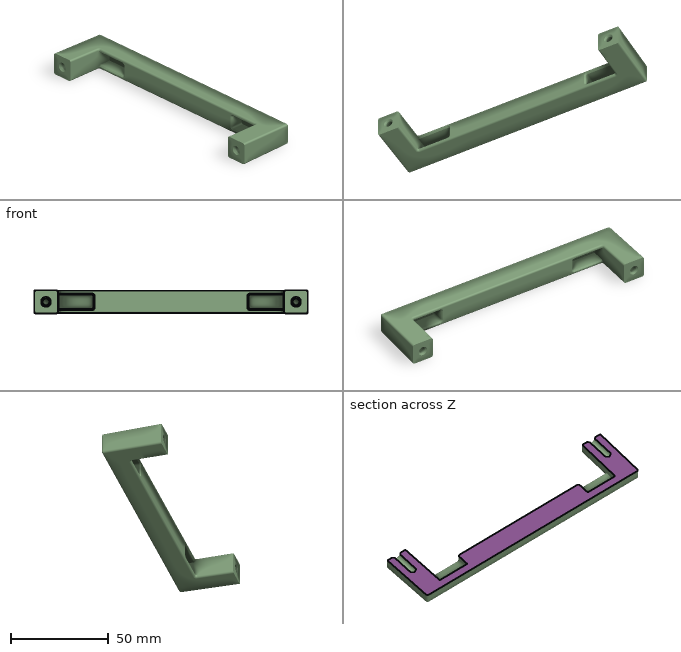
import cadquery as cq
import math

length = 140.0
projection = 32.0
foot_size = 12.0
grip_thickness = 12.0
end_draft_angle = 1.0
side_draft_angle = 0.6
edge_radius = 1.0
inner_corner_radius = 1.0

hole_diameter = 3.4
hole_depth = 14.0
countersink_diameter = 5.0
drill_tip_angle = 118.0

pocket_length = 17.9
pocket_width = 7.3
pocket_depth = 7.4
pocket_corner_radius = 1.0
pocket_rim_chamfer = 0.7
pocket_rim_angle = 45.0
pocket_leg_overlap = 4.2

end_draft_slope = math.tan(math.radians(end_draft_angle))
side_draft_slope = math.tan(math.radians(side_draft_angle))
inner_face_y = projection - grip_thickness
hole_offset_x = (length - foot_size) / 2
foot_inner_x = length / 2 - foot_size
leg_inner_x = foot_inner_x - inner_face_y * end_draft_slope


def tapered_prism(plane, base_half, slope, height):
    """Prism along the plane's normal; its outline narrows from base_half over the height."""
    top_half = base_half - height * slope
    return (
        cq.Workplane(plane)
        .polyline([(-base_half, 0), (base_half, 0), (top_half, height), (-top_half, height)])
        .close()
        .extrude(length, both=True)
    )


def plain_handle():
    """U-shaped handle with drafted faces and sharp outer edges."""
    end_outline = tapered_prism("XY", length / 2, end_draft_slope, projection)
    side_outline = tapered_prism("ZY", foot_size / 2, side_draft_slope, projection)
    finger_opening = (
        tapered_prism("XY", foot_inner_x, end_draft_slope, inner_face_y)
        .edges("|Z and >Y")
        .fillet(inner_corner_radius)
    )
    return end_outline.intersect(side_outline).cut(finger_opening)


def round_edges(body):
    """Round every edge except the foot outlines and the blended inner corners."""
    foot_edges = body.faces("<Y").edges().vals()
    corner_edges = body.faces("%CYLINDER").edges("|Z").vals()
    sharp_edges = foot_edges + corner_edges
    rounded = body.edges().filter(lambda edge: not any(edge.isSame(sharp) for sharp in sharp_edges))
    return rounded.fillet(edge_radius)


def mounting_hole(center_x):
    """Countersunk blind hole with a drill tip, revolved about an axis along Y."""
    hole_radius = hole_diameter / 2
    countersink_radius = countersink_diameter / 2
    countersink_depth = countersink_radius - hole_radius
    tip_depth = hole_radius / math.tan(math.radians(drill_tip_angle / 2))
    return (
        cq.Workplane("XY")
        .polyline([
            (0, 0),
            (countersink_radius, 0),
            (hole_radius, countersink_depth),
            (hole_radius, hole_depth),
            (0, hole_depth + tip_depth),
        ])
        .close()
        .revolve(360, (0, 0, 0), (0, 1, 0))
        .translate((center_x, 0, 0))
    )


def pocket_layer(side, start_y, height, margin, taper=0):
    """Block with rounded corners starting inside the leg, larger than the pocket by margin all round."""
    inner_end = leg_inner_x - pocket_length - margin
    block_length = leg_inner_x + pocket_leg_overlap - inner_end
    center_x = side * (inner_end + block_length / 2)
    layer_plane = cq.Plane(origin=(center_x, start_y, 0), xDir=(-1, 0, 0), normal=(0, 1, 0))
    outline = (
        cq.Sketch()
        .rect(block_length, pocket_width + 2 * margin)
        .vertices()
        .fillet(pocket_corner_radius + margin)
    )
    return cq.Workplane(layer_plane).placeSketch(outline).extrude(height, taper=taper)


def pocket(side):
    """Pocket with a chamfered rim; at the leg it ends on the leg's drafted inner face."""
    corner_start_y = inner_face_y - inner_corner_radius
    corner_clearance = pocket_layer(side, corner_start_y, inner_corner_radius, pocket_rim_chamfer)
    rim = pocket_layer(side, inner_face_y, pocket_rim_chamfer, pocket_rim_chamfer, taper=pocket_rim_angle)
    well = pocket_layer(side, inner_face_y, pocket_depth, 0)
    between_legs = tapered_prism("XY", foot_inner_x, end_draft_slope, inner_face_y + pocket_depth)
    return well.union(rim).union(corner_clearance).intersect(between_legs)


result = round_edges(plain_handle())
for side in (-1, 1):
    result = result.cut(mounting_hole(side * hole_offset_x))
    result = result.cut(pocket(side))